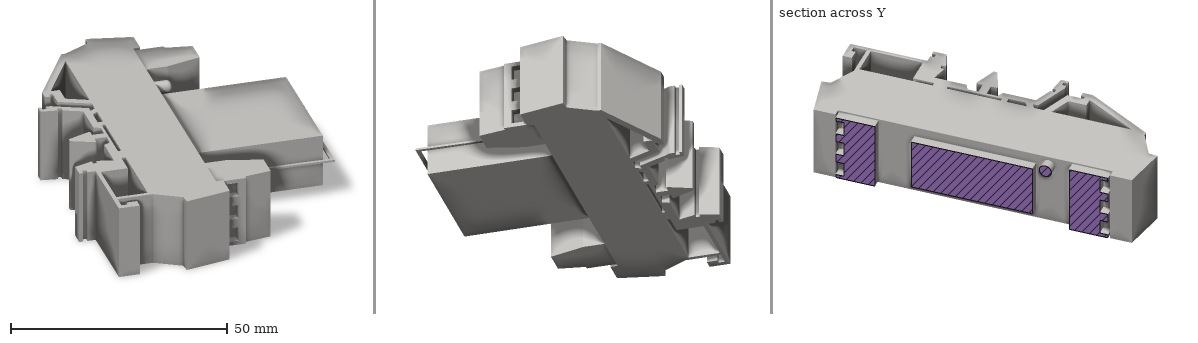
import cadquery as cq


HOUSING_LENGTH = 83.0
HOUSING_DEPTH = 18.0
HOUSING_FLOOR_Y = 12.5
SEAT_Y = 29.3
EAR_TOP_Y = 31.0
EAR_INNER_X = 33.9
EAR_OUTER_X = 39.3
EAR_BASE_Y = 20.0
FLANK_TOP_Y = 19.8
FLANK_END_Y = 13.5
FLOOR_HALF = 35.9

STRIP_BOTTOM_Y = 9.5
STRIP_TOP_Y = 11.2
SPRING_TOP_Y = 11.7
HEEL_TOP_Y = 11.5
BARB_X = 5.05
BARB_ROOT_Y = 11.1
BARB_SHOULDER_Y = 8.2
BARB_TIP_Y = 2.45
BARB_EDGE = 0.5
BARB_STEM_HALF = 1.0
BARB_HEAD_HALF = 2.55
BARB_TIP_HALF = 0.5
RELIEF_TOP_HALF = 3.7
RELIEF_BOTTOM_HALF = 4.45
POST_LEFT_X = -1.5
SLOT_LEFT_X = 0.0
SLOT_RIGHT_X = 13.35
POST_RIGHT_X = 16.8
HEEL_RIGHT_X = 22.05
SHELF_BOTTOM_Y = 3.95
SHELF_TOP_Y = 4.95
WALL_THICKNESS = 1.0

NOTCH = 1.05

ARM_FOOT_LEFT_X = -19.2
ARM_FOOT_RIGHT_X = -16.7
ARM_FOOT_BOTTOM_Y = 3.0
ARM_LIP_TOP_Y = 4.3
ARM_LIP_ROOT_X = -17.7
ARM_LEDGE_BOTTOM_Y = 5.1
ARM_LEDGE_TOP_Y = 7.25
ARM_BAR_INNER_X = -32.3
ARM_BAR_INNER_Y = 5.1
BRACE_BOTTOM_INNER_X = -14.75
BRACE_BOTTOM_OUTER_X = -13.7
BRACE_TOP_INNER_X = -12.55
BRACE_TOP_OUTER_X = -10.65

CLAW_TOP_X = -8.75
CLAW_BEND_X = -11.75
CLAW_BEND_Y = 3.9
CLAW_OUTER_X = -12.2
CLAW_STRAIGHT_Y = 3.0
CLAW_NOTCH_Y = 0.75
CLAW_TOE_X = -10.2
CLAW_TIP_X = -9.65
CLAW_TIP_Y = 4.0
CLAW_GROOVE_X = -10.5
CLAW_THROAT_X = -9.4
CLAW_THROAT_Y = 5.0
CLAW_ROOT_X = -7.55
STRUT_TOP_LEFT_X = -8.25
STRUT_BOTTOM_LEFT_X = -7.4
STRUT_WIDTH = 1.8

HEEL_ROOT_X = 17.55
HEEL_NOSE_X = 16.5
HEEL_NOSE_Y = 5.5
HEEL_TOE_X = 18.0
HEEL_BACK_X = 21.35
HEEL_NOTCH_Y = 0.95

HOOK_OUTER_X = 40.4
HOOK_LIP_X = 38.1
HOOK_STEM_X = 39.1
HOOK_TOP_Y = 9.0
HOOK_LIP_Y = 6.45

RELAY_WIDTH = 30.0
RELAY_TOP_Y = 60.6
RELAY_DEPTH = 13.0
BAIL_TOP_Y = 63.2
BAIL_END_Y = 33.8
BAIL_TOP_HALF = 16.0
BAIL_END_HALF = 15.45
BAIL_LEG = 0.85
BAIL_BAR = 0.9
BAIL_DIP_Y = 61.75
BAIL_DIP_TOP_HALF = 5.1
BAIL_DIP_BOTTOM_HALF = 3.6
BAIL_THICKNESS = 0.5

TERMINAL_TOP_Y = 43.05
TERMINAL_DEPTH = 17.2
TERMINAL_INNER_X = 23.95
TERMINAL_OUTER_X = 33.65
TERMINAL_TOP_INNER_X = 26.15
TERMINAL_TOP_OUTER_X = 31.9
TERMINAL_LEDGE_X = 32.9
TERMINAL_LEDGE_Y = 36.6
TERMINAL_SHOULDER_Y = 34.6
WIRE_ENTRIES = 3
WIRE_PITCH = 5.85
WIRE_WIDTH = 3.5
WIRE_TOP_Y = 34.8
WIRE_DEPTH = 2.0

LAMP_X = -18.1
LAMP_Z = 6.6
LAMP_DIAMETER = 3.1
LAMP_TOP_Y = 33.7
LAMP_ROUND = 1.0


def slab(points, depth=HOUSING_DEPTH, middle_z=0.0):
    """Extrude an XY outline, centred in thickness on middle_z."""
    base = cq.Workplane("XY").workplane(offset=middle_z - depth / 2)
    return base.polyline(points).close().extrude(depth)


def block(x_min, x_max, y_min, y_max, depth=HOUSING_DEPTH, middle_z=0.0):
    """Rectangular slab between two X and two Y limits."""
    corners = [(x_min, y_min), (x_max, y_min), (x_max, y_max), (x_min, y_max)]
    return slab(corners, depth, middle_z)


def mirrored(half, axis_x=0.0):
    """Complete a right-hand half outline with its reflection about X = axis_x."""
    return half + [(2 * axis_x - x, y) for x, y in reversed(half)]


def housing():
    half = [
        (EAR_INNER_X, SEAT_Y),
        (EAR_INNER_X, EAR_TOP_Y),
        (EAR_OUTER_X, EAR_TOP_Y),
        (HOUSING_LENGTH / 2, EAR_BASE_Y),
        (EAR_OUTER_X, FLANK_TOP_Y),
        (FLOOR_HALF, FLANK_END_Y),
        (FLOOR_HALF, HOUSING_FLOOR_Y),
    ]
    return slab(mirrored(half))


def release_arm():
    """Sloping arm with a hooked end, braced back to the housing floor."""
    return slab([
        (-FLOOR_HALF, HOUSING_FLOOR_Y),
        (ARM_FOOT_LEFT_X, ARM_FOOT_BOTTOM_Y),
        (ARM_FOOT_RIGHT_X, ARM_FOOT_BOTTOM_Y),
        (ARM_FOOT_RIGHT_X, ARM_LIP_TOP_Y),
        (ARM_LIP_ROOT_X, ARM_LIP_TOP_Y),
        (ARM_LIP_ROOT_X, ARM_LEDGE_BOTTOM_Y),
        (BRACE_BOTTOM_OUTER_X, ARM_LEDGE_BOTTOM_Y),
        (BRACE_TOP_OUTER_X, HOUSING_FLOOR_Y),
        (BRACE_TOP_INNER_X, HOUSING_FLOOR_Y),
        (BRACE_BOTTOM_INNER_X, ARM_LEDGE_TOP_Y),
        (ARM_FOOT_LEFT_X, ARM_LEDGE_TOP_Y),
        (ARM_FOOT_LEFT_X, ARM_BAR_INNER_Y),
        (ARM_BAR_INNER_X, HOUSING_FLOOR_Y),
    ])


def rail_claw():
    """Springy claw on the left of the rail, with its strip and diagonal strut."""
    claw = slab([
        (POST_LEFT_X, STRIP_TOP_Y),
        (CLAW_TOP_X, STRIP_TOP_Y),
        (CLAW_BEND_X, CLAW_BEND_Y),
        (CLAW_OUTER_X, CLAW_STRAIGHT_Y),
        (CLAW_OUTER_X, CLAW_NOTCH_Y + NOTCH),
        (CLAW_OUTER_X + NOTCH, CLAW_NOTCH_Y + NOTCH),
        (CLAW_OUTER_X + NOTCH, CLAW_NOTCH_Y),
        (CLAW_OUTER_X, CLAW_NOTCH_Y),
        (CLAW_OUTER_X, 0.0),
        (CLAW_TOE_X, 0.0),
        (CLAW_TIP_X, CLAW_TIP_Y),
        (CLAW_GROOVE_X, CLAW_TIP_Y),
        (CLAW_GROOVE_X, CLAW_THROAT_Y),
        (CLAW_THROAT_X, CLAW_THROAT_Y),
        (CLAW_ROOT_X, STRIP_BOTTOM_Y),
        (POST_LEFT_X, STRIP_BOTTOM_Y),
    ])
    strut = slab([
        (STRUT_TOP_LEFT_X, HOUSING_FLOOR_Y),
        (STRUT_BOTTOM_LEFT_X, STRIP_TOP_Y),
        (STRUT_BOTTOM_LEFT_X + STRUT_WIDTH, STRIP_TOP_Y),
        (STRUT_TOP_LEFT_X + STRUT_WIDTH, HOUSING_FLOOR_Y),
    ])
    return claw.union(strut)


def rail_strip():
    """Strip under the slot, relieved around the barb, on two posts."""
    strip = block(POST_LEFT_X, POST_RIGHT_X, STRIP_BOTTOM_Y, SPRING_TOP_Y)
    relief = slab(mirrored([
        (BARB_X + RELIEF_TOP_HALF, BARB_ROOT_Y),
        (BARB_X + RELIEF_BOTTOM_HALF, STRIP_BOTTOM_Y),
    ], BARB_X))
    left_post = block(POST_LEFT_X, SLOT_LEFT_X, STRIP_BOTTOM_Y, HOUSING_FLOOR_Y)
    right_post = block(SLOT_RIGHT_X, POST_RIGHT_X, STRIP_BOTTOM_Y, HOUSING_FLOOR_Y)
    return strip.cut(relief).union(left_post).union(right_post)


def barb():
    """Arrow-shaped barb that hangs from the middle of the strip."""
    return slab(mirrored([
        (BARB_X + BARB_STEM_HALF, BARB_ROOT_Y),
        (BARB_X + BARB_STEM_HALF, BARB_SHOULDER_Y),
        (BARB_X + BARB_HEAD_HALF, BARB_SHOULDER_Y),
        (BARB_X + BARB_HEAD_HALF, BARB_SHOULDER_Y - BARB_EDGE),
        (BARB_X + BARB_TIP_HALF, BARB_TIP_Y),
    ], BARB_X))


def rail_heel():
    """Solid heel on the right of the rail, notched on both sides."""
    return slab([
        (POST_RIGHT_X, HEEL_TOP_Y),
        (POST_RIGHT_X, STRIP_BOTTOM_Y),
        (HEEL_ROOT_X, STRIP_BOTTOM_Y),
        (HEEL_NOSE_X, HEEL_NOSE_Y),
        (HEEL_NOSE_X + NOTCH, HEEL_NOSE_Y),
        (HEEL_NOSE_X + NOTCH, HEEL_NOSE_Y - NOTCH),
        (HEEL_NOSE_X, HEEL_NOSE_Y - NOTCH),
        (HEEL_TOE_X, 0.0),
        (HEEL_BACK_X, 0.0),
        (HEEL_BACK_X, HEEL_NOTCH_Y),
        (HEEL_BACK_X - NOTCH, HEEL_NOTCH_Y),
        (HEEL_BACK_X - NOTCH, HEEL_NOTCH_Y + NOTCH),
        (HEEL_BACK_X, HEEL_NOTCH_Y + NOTCH),
        (HEEL_BACK_X, SHELF_BOTTOM_Y),
        (HEEL_RIGHT_X, SHELF_BOTTOM_Y),
        (HEEL_RIGHT_X, HEEL_TOP_Y),
    ])


def marker_shelf():
    """Shelf from the heel to an upturned hook, tied to the housing by a wall."""
    shelf = slab([
        (HEEL_RIGHT_X, SHELF_BOTTOM_Y),
        (HOOK_OUTER_X, SHELF_BOTTOM_Y),
        (HOOK_OUTER_X, HOOK_TOP_Y),
        (HOOK_LIP_X, HOOK_TOP_Y),
        (HOOK_LIP_X, HOOK_LIP_Y),
        (HOOK_STEM_X, HOOK_LIP_Y),
        (HOOK_STEM_X, SHELF_TOP_Y),
        (HEEL_RIGHT_X, SHELF_TOP_Y),
    ])
    wall = block(FLOOR_HALF - WALL_THICKNESS, FLOOR_HALF, SHELF_BOTTOM_Y, HOUSING_FLOOR_Y)
    return shelf.union(wall)


def relay():
    return block(-RELAY_WIDTH / 2, RELAY_WIDTH / 2, SEAT_Y, RELAY_TOP_Y, RELAY_DEPTH)


def bail():
    """Thin flat bail over the relay, dipped to press on its top face."""
    bar_bottom_y = BAIL_TOP_Y - BAIL_BAR
    half = [
        (BAIL_DIP_BOTTOM_HALF, BAIL_DIP_Y),
        (BAIL_DIP_TOP_HALF, BAIL_TOP_Y),
        (BAIL_TOP_HALF, BAIL_TOP_Y),
        (BAIL_END_HALF, BAIL_END_Y),
        (BAIL_END_HALF - BAIL_LEG, BAIL_END_Y),
        (BAIL_TOP_HALF - BAIL_LEG, bar_bottom_y),
        (BAIL_DIP_TOP_HALF, bar_bottom_y),
        (BAIL_DIP_BOTTOM_HALF, RELAY_TOP_Y),
    ]
    return slab(mirrored(half), BAIL_THICKNESS)


def terminal_block():
    """Right-hand terminal block with its wire entries in the outer face."""
    body = slab([
        (TERMINAL_INNER_X, SEAT_Y),
        (TERMINAL_INNER_X, TERMINAL_SHOULDER_Y),
        (TERMINAL_TOP_INNER_X, TERMINAL_TOP_Y),
        (TERMINAL_TOP_OUTER_X, TERMINAL_TOP_Y),
        (TERMINAL_LEDGE_X, TERMINAL_LEDGE_Y),
        (TERMINAL_OUTER_X, TERMINAL_LEDGE_Y),
        (TERMINAL_OUTER_X, SEAT_Y),
    ], TERMINAL_DEPTH)
    for index in range(WIRE_ENTRIES):
        entry_z = (index - (WIRE_ENTRIES - 1) / 2) * WIRE_PITCH
        entry = block(TERMINAL_OUTER_X - WIRE_DEPTH, TERMINAL_OUTER_X,
                      SEAT_Y, WIRE_TOP_Y, WIRE_WIDTH, entry_z)
        body = body.cut(entry)
    return body


def lamp():
    """Round-topped indicator lamp standing on the seat."""
    base = cq.Workplane("XZ", origin=(LAMP_X, SEAT_Y, LAMP_Z))
    post = base.circle(LAMP_DIAMETER / 2).extrude(SEAT_Y - LAMP_TOP_Y)
    return post.faces(">Y").edges().fillet(LAMP_ROUND)


right_terminal = terminal_block()

result = (
    housing()
    .union(release_arm())
    .union(rail_claw())
    .union(rail_strip())
    .union(barb())
    .union(rail_heel())
    .union(marker_shelf())
    .union(relay())
    .union(bail())
    .union(right_terminal)
    .union(right_terminal.mirror("YZ"))
    .union(lamp())
    .clean()
)